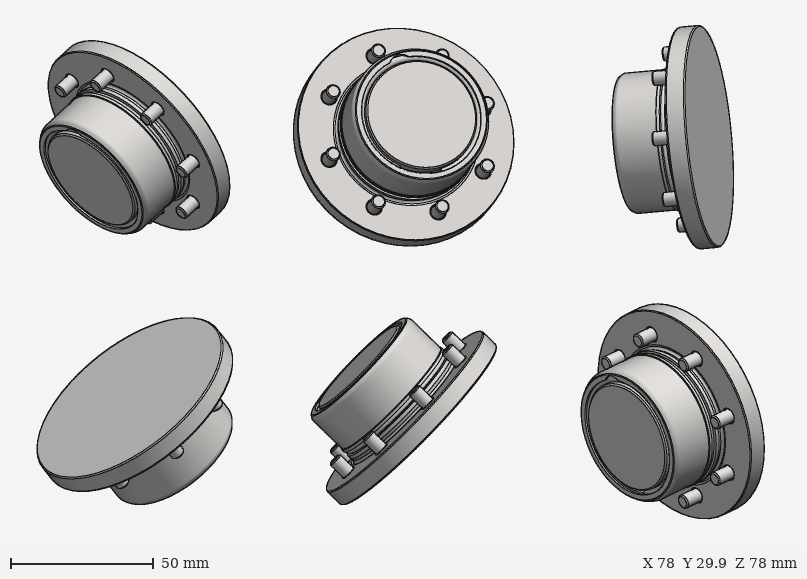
import cadquery as cq
import math


flange_radius = 39.0
flange_thickness = 7.1
back_bevel = 0.5
front_bevel_length = 0.5
front_bevel_drop = 0.2
recess_radius = 26.2
recess_depth = 0.2

neck_root_radius = 24.6
neck_fillet = 0.9
neck_radius = 50.0 / 2
neck_cone_reach = 1.9
seal_groove_start = 3.3
seal_groove_end = 5.2
seal_groove_radius = 45.1 / 2
seal_ring_thickness = 1.5
seal_ring_radius = 24.6
collar_end = 6.3

body_radius = 49.4 / 2
body_start = 6.55
body_end = 20.4
nose_middle = (24.25, 21.6)
nose_tip = (23.8, 22.3)
end_face_radius = 23.4
end_face = 22.55

cover_radius = 39.9 / 2
cover_front = 22.8
cover_bevel = 0.55
wire_radius = 1.4
wire_circle_radius = 21.45
wire_sink = 0.8
wire_gap_angle = 42.0
lip_radius = 21.5
groove_radius = 21.05
groove_bevel_length = 0.3
groove_depth = wire_sink + 2 * wire_radius

notch_radius = 9.0 / 2
notch_distance = 18.5
notch_angle = 112.0

pin_count = 8
pin_circle_radius = 30.0
pin_radius = 5.0 / 2
pin_length = 6.8
pin_bevel = 0.5
pin_hole_radius = 5.2 / 2
pin_hole_bevel = 0.3


def turned(outline):
    """Revolve a closed outline of (radius, y) points about the Y axis."""
    return outline.close().revolve(360.0, (0, 0, 0), (0, 1, 0))


def make_main_body():
    fillet_center_y = recess_depth - neck_fillet
    fillet_center_radius = neck_root_radius + neck_fillet
    fillet_diagonal = neck_fillet * math.sqrt(0.5)
    groove_middle = (seal_groove_start + seal_groove_end) / 2
    ring_start = groove_middle - seal_ring_thickness / 2
    ring_shoulder = seal_ring_radius - seal_ring_thickness / 2
    ring_end = groove_middle + seal_ring_thickness / 2
    wire_crest = wire_sink - end_face
    groove_floor = groove_depth - end_face
    outline = (
        cq.Workplane("XY")
        .moveTo(0, flange_thickness)
        .lineTo(flange_radius - back_bevel, flange_thickness)
        .lineTo(flange_radius, flange_thickness - back_bevel)
        .lineTo(flange_radius, front_bevel_length)
        .lineTo(flange_radius - front_bevel_drop, 0)
        .lineTo(recess_radius, 0)
        .lineTo(fillet_center_radius, recess_depth)
        .threePointArc(
            (fillet_center_radius - fillet_diagonal, fillet_center_y + fillet_diagonal),
            (neck_root_radius, fillet_center_y),
        )
        .lineTo(neck_radius, -neck_cone_reach)
        .lineTo(neck_radius, -seal_groove_start)
        .lineTo(seal_groove_radius, -seal_groove_start)
        .lineTo(seal_groove_radius, -ring_start)
        .lineTo(ring_shoulder, -ring_start)
        .threePointArc((seal_ring_radius, -groove_middle), (ring_shoulder, -ring_end))
        .lineTo(seal_groove_radius, -ring_end)
        .lineTo(seal_groove_radius, -seal_groove_end)
        .lineTo(neck_radius, -seal_groove_end)
        .lineTo(neck_radius, -collar_end)
        .lineTo(body_radius, -body_start)
        .lineTo(body_radius, -body_end)
        .tangentArcPoint((nose_middle[0], -nose_middle[1]), relative=False)
        .lineTo(nose_tip[0], -nose_tip[1])
        .lineTo(end_face_radius, -end_face)
        .lineTo(lip_radius, -end_face)
        .lineTo(lip_radius, wire_crest)
        .lineTo(groove_radius, wire_crest + groove_bevel_length)
        .lineTo(groove_radius, groove_floor)
        .lineTo(cover_radius, groove_floor)
        .lineTo(cover_radius, -cover_front + cover_bevel)
        .lineTo(cover_radius - cover_bevel, -cover_front)
        .lineTo(0, -cover_front)
    )
    return turned(outline)


def make_wire_ring():
    """Round wire bent into a ring, with its gap at the bottom."""
    center_y = wire_sink + wire_radius - end_face
    outline = cq.Workplane("XY").center(wire_circle_radius, center_y).circle(wire_radius)
    axis_start = (-wire_circle_radius, 0, 0)
    axis_end = (-wire_circle_radius, 1, 0)
    ring = outline.revolve(360.0 - wire_gap_angle, axis_start, axis_end)
    return ring.rotate((0, 0, 0), (0, 1, 0), 90.0 + wire_gap_angle / 2)


def make_notch():
    """Round pocket down to the middle of the wire, leaving the cover disc whole."""
    angle = math.radians(notch_angle)
    depth = wire_sink + wire_radius
    floor = cq.Workplane("XZ").workplane(offset=end_face - depth)
    pocket = (
        floor.center(notch_distance * math.cos(angle), notch_distance * math.sin(angle))
        .circle(notch_radius)
        .extrude(depth)
    )
    return pocket.cut(floor.circle(cover_radius).extrude(depth))


def pin_positions():
    for index in range(pin_count):
        angle = 2 * math.pi * (index + 0.5) / pin_count
        yield pin_circle_radius * math.cos(angle), pin_circle_radius * math.sin(angle)


def make_pin():
    outline = (
        cq.Workplane("XY")
        .moveTo(0, pin_hole_bevel)
        .lineTo(pin_radius, pin_hole_bevel)
        .lineTo(pin_radius, -pin_length + pin_bevel)
        .lineTo(pin_radius - pin_bevel, -pin_length)
        .lineTo(0, -pin_length)
    )
    return turned(outline)


def make_pin_countersink():
    outline = (
        cq.Workplane("XY")
        .lineTo(pin_hole_radius + pin_hole_bevel, 0)
        .lineTo(pin_hole_radius, pin_hole_bevel)
        .lineTo(0, pin_hole_bevel)
    )
    return turned(outline)


result = make_main_body().cut(make_notch()).union(make_wire_ring())
for x, z in pin_positions():
    result = result.cut(make_pin_countersink().translate((x, 0, z)))
    result = result.union(make_pin().translate((x, 0, z)))